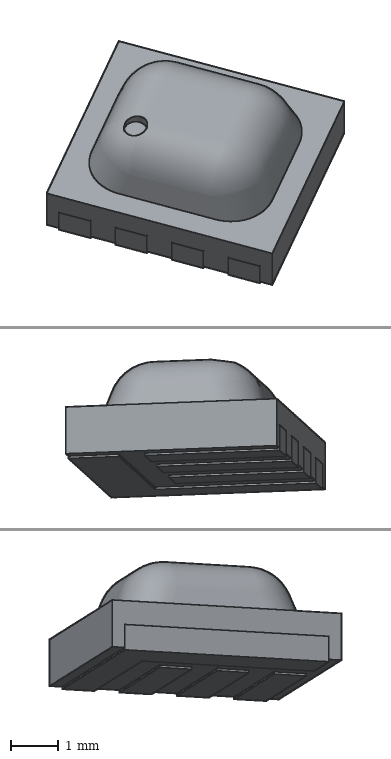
import cadquery as cq

BASE_LENGTH = 5.08
BASE_WIDTH = 4.57
TOTAL_HEIGHT = 2.26
STANDOFF = 0.05
DOME_HEIGHT = 1.2
BASE_TOP = TOTAL_HEIGHT - DOME_HEIGHT

DOME_MARGIN = 0.505
DOME_LENGTH = BASE_LENGTH - 2 * DOME_MARGIN
DOME_WIDTH = BASE_WIDTH - 2 * DOME_MARGIN
DOME_DRAFT = 18.0
DOME_ROUNDING = 1.0

MARK_DIAMETER = 0.5
MARK_X = -1.055
MARK_Y = -0.815
MARK_DEPTH = 0.2

LEAD_COUNT = 4
LEAD_PITCH = 1.27
LEAD_WIDTH = 0.71
LEAD_HEIGHT = 0.55
LEAD_GAP = LEAD_PITCH - LEAD_WIDTH
LEAD_FRONT = -BASE_WIDTH / 2
GROUND_INDEX = LEAD_COUNT - 1

PAD_DEPTH = 1.09
PAD_BACK = BASE_WIDTH / 2
PAD_FRONT = PAD_BACK - PAD_DEPTH
LEAD_END = PAD_FRONT - LEAD_GAP
PAD_LENGTH = (LEAD_COUNT - 1) * LEAD_PITCH + LEAD_WIDTH


def bar(x_center, x_size, y_start, y_end):
    """Flat metal bar that stands on Z = 0."""
    y_size = y_end - y_start
    return (
        cq.Workplane("XY")
        .center(x_center, (y_start + y_end) / 2)
        .box(x_size, y_size, LEAD_HEIGHT, centered=(True, True, False))
    )


def lead_x(index):
    """Center of a lead along X, counted from the -X end."""
    return (index - (LEAD_COUNT - 1) / 2) * LEAD_PITCH


def make_lead(index):
    """Straight lead that stops short of the pad."""
    return bar(lead_x(index), LEAD_WIDTH, LEAD_FRONT, LEAD_END)


def make_ground_lead():
    """Longer lead that runs into the pad."""
    lead = bar(lead_x(GROUND_INDEX), LEAD_WIDTH, LEAD_FRONT, PAD_FRONT)
    pad = bar(0, PAD_LENGTH, PAD_FRONT, PAD_BACK)
    return lead.union(pad)


def make_base(metal_parts):
    """Plain block with a pocket for each metal part."""
    base = cq.Workplane("XY", origin=(0, 0, STANDOFF)).box(
        BASE_LENGTH, BASE_WIDTH, BASE_TOP - STANDOFF, centered=(True, True, False)
    )
    for part in metal_parts:
        base = base.cut(part)
    return base


def make_dome():
    """Rounded cap on the base, with the round mark sunk into one corner."""
    dome = (
        cq.Workplane("XY", origin=(0, 0, BASE_TOP))
        .rect(DOME_LENGTH, DOME_WIDTH)
        .extrude(DOME_HEIGHT, taper=DOME_DRAFT)
        .edges("not <Z")
        .fillet(DOME_ROUNDING)
    )
    mark = (
        cq.Workplane("XY", origin=(MARK_X, MARK_Y, TOTAL_HEIGHT - MARK_DEPTH))
        .circle(MARK_DIAMETER / 2)
        .extrude(MARK_DEPTH)
    )
    return dome.cut(mark)


leads = [make_lead(i) for i in range(LEAD_COUNT) if i != GROUND_INDEX]
ground_lead = make_ground_lead()
base = make_base([*leads, ground_lead])
dome = make_dome()

result = cq.Compound.makeCompound(
    [base.val(), dome.val(), ground_lead.val(), *[lead.val() for lead in leads]]
)